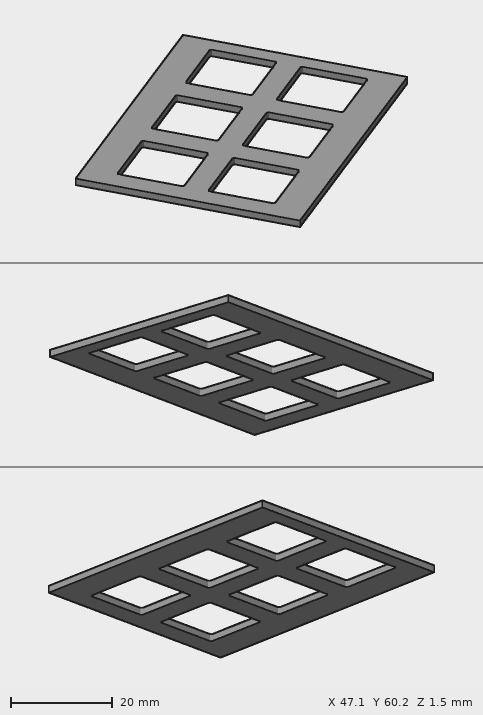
import cadquery as cq

plate_width = 47.1
plate_length = 60.25
plate_thickness = 1.5

window_side = 14.0
window_pitch = 19.1
window_corner_radius = 0.5
columns = 2
rows = 3
grid_offset_y = 0.55


def make_plate():
    return cq.Workplane("XY").box(plate_width, plate_length, plate_thickness)


def make_windows():
    """Rounded square cutters passing through the plate."""
    return (
        cq.Workplane("XY")
        .center(0, grid_offset_y)
        .rarray(window_pitch, window_pitch, columns, rows)
        .rect(window_side, window_side)
        .extrude(plate_thickness, both=True)
        .edges("|Z")
        .fillet(window_corner_radius)
    )


result = make_plate().cut(make_windows())